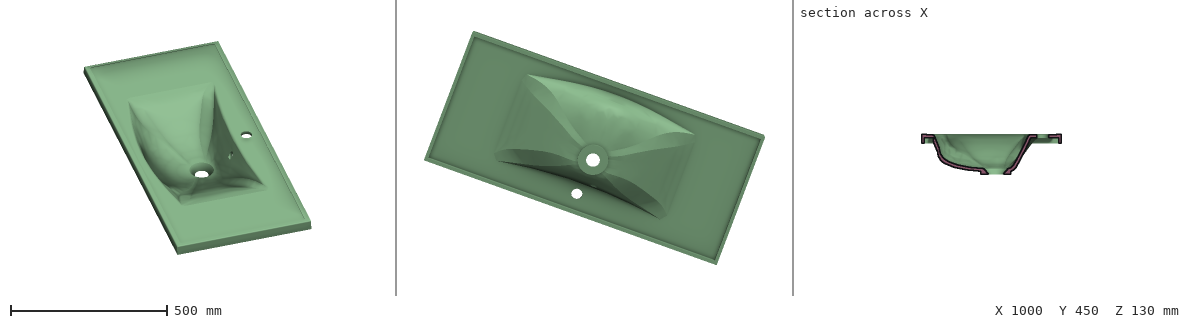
import cadquery as cq
import math

length = 1000.0
width = 450.0
slab_height = 30.0
end_taper = 5.0
edge_round = 4.0
rim_width = 16.0
deck_depth = 2.0
deck_corner_radius = 8.0
deck_thickness = 11.0
skirt_thickness = 11.0

drain_y = 14.0
drain_rim_radius = 39.0
drain_hole_radius = 22.0
drain_rim_depth = 110.0
tap_y = 164.0
tap_radius = 18.0
overflow_x = 38.0
overflow_depth = 43.0
overflow_radius = 12.0

total_height = 130.0
wall_growth = 8.0
floor_thickness = 10.0
collar_radius = 49.0
lip_radius = 10.0

bowl_levels = [
    dict(depth=deck_depth, ramp_x=297.0, ramp_y=(-133.0, 141.0),
         front_end=(293.0, -144.0), back_end=(290.0, 145.0), front_mid=-167.0, back_mid=117.0),
    dict(depth=32.0, ramp_x=220.0, ramp_y=(-92.0, 82.0),
         front_end=(208.0, -129.0), back_end=(186.0, 113.0), front_mid=-172.0, back_mid=105.0),
    dict(depth=60.0, ramp_x=170.0, ramp_y=(-73.0, 61.0),
         front_end=(155.0, -96.0), back_end=(136.0, 93.0), front_mid=-164.0, back_mid=91.0),
    dict(depth=80.0, ramp_x=130.0, ramp_y=(-55.0, 48.0),
         front_end=(118.0, -66.0), back_end=(106.0, 77.0), front_mid=-150.0, back_mid=81.0),
    dict(depth=100.0, ramp_x=82.0, ramp_y=(-30.0, 42.0),
         front_end=(70.0, -36.0), back_end=(72.0, 56.0), front_mid=-102.0, back_mid=69.0),
]


def level_wire(level, growth, drop):
    """Closed bowl outline at one level: curved front and back, straight ramps, short corners."""
    ramp_x = level["ramp_x"] + growth
    ramp_front, ramp_back = level["ramp_y"]
    front_x, front_y = level["front_end"]
    back_x, back_y = level["back_end"]
    front_y -= growth
    back_y += growth
    outline = (
        cq.Workplane("XY", origin=(0, 0, -level["depth"] - drop))
        .moveTo(-front_x, front_y)
        .threePointArc((0, level["front_mid"] - growth), (front_x, front_y))
        .lineTo(ramp_x, ramp_front)
        .lineTo(ramp_x, ramp_back)
        .lineTo(back_x, back_y)
        .threePointArc((0, level["back_mid"] + growth), (-back_x, back_y))
        .lineTo(-ramp_x, ramp_back)
        .lineTo(-ramp_x, ramp_front)
        .close()
    )
    return outline.val()


def drain_wire(growth, drop):
    """Round end of the bowl at the drain, split into the same eight stretches as the levels."""
    radius = drain_rim_radius + growth
    right_side_angles = [-45, -35, 30, 40]
    angles = right_side_angles + [180 - a for a in reversed(right_side_angles)]

    def rim_point(angle):
        a = math.radians(angle)
        return (radius * math.cos(a), drain_y + radius * math.sin(a))

    start = angles[-1] - 360
    outline = cq.Workplane("XY", origin=(0, 0, -drain_rim_depth - drop)).moveTo(*rim_point(start))
    for angle in angles:
        outline = outline.threePointArc(rim_point((start + angle) / 2), rim_point(angle))
        start = angle
    return outline.wire().val()


def bowl_body(growth, drop):
    """Smooth solid through all levels; growth widens it and drop lowers it to make the shell."""
    wires = [level_wire(level, growth, drop) for level in bowl_levels]
    wires.append(drain_wire(growth, drop))
    return cq.Workplane(cq.Solid.makeLoft(wires))


def slab():
    half_base = length / 2
    half_top = half_base - end_taper
    body = (
        cq.Workplane("XZ", origin=(0, width / 2, 0))
        .polyline([(-half_base, -slab_height), (half_base, -slab_height), (half_top, 0), (-half_top, 0)])
        .close()
        .extrude(width)
    )
    body = body.edges(">Z").edges("<X or >X or <Y").fillet(edge_round)
    deck = (
        cq.Workplane("XY")
        .rect(length - 2 * rim_width, width - 2 * rim_width)
        .extrude(-deck_depth)
        .edges("|Z")
        .fillet(deck_corner_radius)
    )
    underside = (
        cq.Workplane("XY", origin=(0, 0, -slab_height))
        .rect(length - 2 * skirt_thickness, width - 2 * skirt_thickness)
        .extrude(slab_height - deck_depth - deck_thickness)
    )
    return body.cut(deck).cut(underside)


def cylinder(radius, x, y, top, height):
    return cq.Workplane("XY", origin=(x, y, top - height)).circle(radius).extrude(height)


def round_lips(body):
    """Round the bowl's front and back edges where they meet the deck."""
    front_limit = -width / 2 + 2 * rim_width
    back_limit = tap_y - tap_radius
    middle_of_deck_edges = cq.selectors.BoxSelector(
        (-drain_rim_radius, front_limit, -1.5 * deck_depth),
        (drain_rim_radius, back_limit, -0.5 * deck_depth),
    )
    return body.edges(middle_of_deck_edges).fillet(lip_radius)


collar_top = -drain_rim_depth - floor_thickness / 2
collar = cylinder(collar_radius, 0, drain_y, collar_top, total_height + collar_top)

drain_cone = (
    cq.Workplane("XY", origin=(0, drain_y, -drain_rim_depth))
    .circle(drain_rim_radius)
    .workplane(offset=drain_rim_depth - total_height)
    .circle(drain_hole_radius)
    .loft()
)
tap_hole = cylinder(tap_radius, 0, tap_y, 0, slab_height)

overflow_hole = (
    cq.Workplane("XZ", origin=(overflow_x, drain_y, -overflow_depth))
    .circle(overflow_radius)
    .extrude(-width / 2)
)

outside = slab().union(bowl_body(wall_growth, floor_thickness)).union(collar)
hollowed = round_lips(outside.cut(bowl_body(0, 0)))
result = hollowed.cut(drain_cone).cut(tap_hole).cut(overflow_hole)